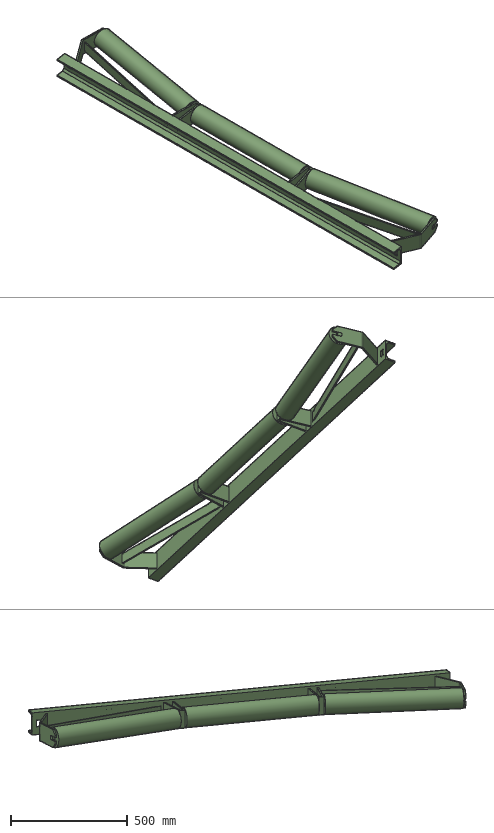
import cadquery as cq
import math


half_span = 957.0
trough_angle = 10.0

channel_length = 1898.0
channel_height = 100.0
channel_depth = 50.0
channel_web = 5.0
channel_flange = 8.0
channel_root_chamfer = 10.0
mount_slot_width = 17.0
mount_slot_height = 29.0
mount_slot_x = 920.0

roller_length = 600.0
roller_diameter = 90.0
shaft_diameter = 21.0
shaft_flat_width = 17.0
end_gap = 4.0
center_axis_y = 117.0

bar_width = 80.0
bar_thickness = 8.0
bend_radius = 11.0
bend_center_y = 122.0
foot_angle = 30.0
end_axis_y = 225.0
tip_rise = 33.0
tip_chamfer = 21.0
bridge_top_y = 142.0

brace_width = 50.0
brace_thickness = 5.0
brace_angle = 13.0
brace_foot_x = 364.0

tilt = math.radians(trough_angle)
axis_x, axis_y = math.cos(tilt), math.sin(tilt)
lean = math.radians(foot_angle)
slope = math.tan(math.radians(brace_angle))

shaft_reach = end_gap + bar_thickness
shaft_length = roller_length + 2 * shaft_reach

bend_center_x = half_span - bend_radius
outer_face_offset = bend_center_x * axis_x + bend_center_y * axis_y + bend_radius
end_axis_x = (outer_face_offset - end_axis_y * axis_y) / axis_x

side_center_x = end_axis_x - shaft_length / 2 * axis_x
side_center_y = end_axis_y - shaft_length / 2 * axis_y


def mirrored(body):
    return body.mirror("YZ")


def flat_bar(profile, width):
    """Extrude a closed XY profile to a bar centred on Z = 0."""
    return profile.extrude(width).translate((0, 0, -width / 2))


def cylinder_along_x(diameter, length):
    """Cylinder centred on the origin, with its axis along X."""
    cylinder = cq.Workplane("YZ").circle(diameter / 2).extrude(length)
    return cylinder.translate((-length / 2, 0, 0))


def on_side_axis(body):
    """Move a body built along X onto the axis of the +X side roller."""
    turned = body.rotate((0, 0, 0), (0, 0, 1), trough_angle)
    return turned.translate((side_center_x, side_center_y, 0))


def on_center_axis(body):
    return body.translate((0, center_axis_y, 0))


def make_shaft():
    """Shaft with two flats, centred on the origin along X."""
    shaft = cylinder_along_x(shaft_diameter, shaft_length)
    flats = cq.Workplane("XY").box(shaft_length, shaft_diameter, shaft_flat_width)
    return shaft.intersect(flats)


def make_roller():
    """Roller shell and its shaft, centred on the origin along X."""
    shell = cylinder_along_x(roller_diameter, roller_length)
    return shell.union(make_shaft())


def make_channel():
    web_face_y = -channel_web
    half_height = channel_height / 2
    channel = cq.Workplane("XY").box(
        channel_length, channel_depth, channel_height
    ).translate((0, -channel_depth / 2, 0))
    recess_depth = channel_depth - channel_web
    recess = (
        cq.Workplane("XY")
        .box(channel_length, recess_depth, 2 * (half_height - channel_flange))
        .translate((0, web_face_y - recess_depth / 2, 0))
        .edges("|X and >Y")
        .chamfer(channel_root_chamfer)
    )
    slots = (
        cq.Workplane("XZ")
        .pushPoints([(-mount_slot_x, 0), (mount_slot_x, 0)])
        .rect(mount_slot_width, mount_slot_height)
        .extrude(channel_web)
    )
    return channel.cut(recess).cut(slots)


def make_end_bracket():
    """Bent bar at the +X end: upper leg square to the roller, lower leg down to the beam."""
    inner_radius = bend_radius - bar_thickness
    foot_nx, foot_ny = math.cos(lean), -math.sin(lean)

    def bend_point(radius, nx, ny):
        return bend_center_x + radius * nx, bend_center_y + radius * ny

    def foot_point(radius):
        x, y = bend_point(radius, foot_nx, foot_ny)
        return x - y * math.tan(lean), 0

    outer_tip = (end_axis_x - tip_rise * axis_y, end_axis_y + tip_rise * axis_x)
    inner_tip = (outer_tip[0] - bar_thickness * axis_x, outer_tip[1] - bar_thickness * axis_y)
    profile = (
        cq.Workplane("XY")
        .moveTo(*outer_tip)
        .lineTo(*bend_point(bend_radius, axis_x, axis_y))
        .threePointArc(bend_point(bend_radius, 1, 0), bend_point(bend_radius, foot_nx, foot_ny))
        .lineTo(*foot_point(bend_radius))
        .lineTo(*foot_point(inner_radius))
        .lineTo(*bend_point(inner_radius, foot_nx, foot_ny))
        .threePointArc(bend_point(inner_radius, 1, 0), bend_point(inner_radius, axis_x, axis_y))
        .lineTo(*inner_tip)
        .close()
    )
    bracket = flat_bar(profile, bar_width)
    tip_face = cq.selectors.DirectionMinMaxSelector(cq.Vector(-axis_y, axis_x, 0))
    bracket = bracket.faces(tip_face).edges("<Z or >Z").chamfer(tip_chamfer)
    entry_slot = (
        cq.Workplane("XY")
        .box(shaft_reach, tip_rise, shaft_flat_width)
        .translate(((shaft_length - shaft_reach) / 2, tip_rise / 2, 0))
    )
    return bracket.cut(on_side_axis(entry_slot)).cut(on_side_axis(make_shaft()))


def make_inner_bracket():
    """Inverted U on the +X side: upright leg, bridge, and leg square to the side roller."""
    upright_x = roller_length / 2 + end_gap
    far_face_offset = side_center_x * axis_x + side_center_y * axis_y - roller_length / 2 - end_gap
    near_face_offset = far_face_offset - bar_thickness
    bridge_underside_y = bridge_top_y - bar_thickness

    def on_leg(face_offset, y):
        return (face_offset - y * axis_y) / axis_x, y

    profile = cq.Workplane("XY").polyline([
        (upright_x, 0),
        (upright_x, bridge_top_y),
        on_leg(far_face_offset, bridge_top_y),
        on_leg(far_face_offset, 0),
        on_leg(near_face_offset, 0),
        on_leg(near_face_offset, bridge_underside_y),
        (upright_x + bar_thickness, bridge_underside_y),
        (upright_x + bar_thickness, 0),
    ]).close()
    bracket = flat_bar(profile, bar_width)
    return bracket.cut(on_center_axis(make_shaft())).cut(on_side_axis(make_shaft()))


def make_brace():
    """Sloping strip from the beam to the upper leg of the +X end bracket."""
    leg_face_offset = outer_face_offset - bar_thickness
    run = brace_thickness / math.sin(math.radians(brace_angle))

    def on_leg_face(foot_x):
        x = (leg_face_offset + slope * foot_x * axis_y) / (axis_x + slope * axis_y)
        return x, slope * (x - foot_x)

    profile = cq.Workplane("XY").polyline([
        (brace_foot_x, 0),
        (brace_foot_x + run, 0),
        on_leg_face(brace_foot_x + run),
        on_leg_face(brace_foot_x),
    ]).close()
    return flat_bar(profile, brace_width)


channel = make_channel()
bodies = [channel.val(), on_center_axis(make_roller()).val()]
for side_body in (
    on_side_axis(make_roller()),
    make_end_bracket(),
    make_inner_bracket(),
    make_brace(),
):
    bodies += [side_body.val(), mirrored(side_body).val()]

result = cq.Compound.makeCompound(bodies)